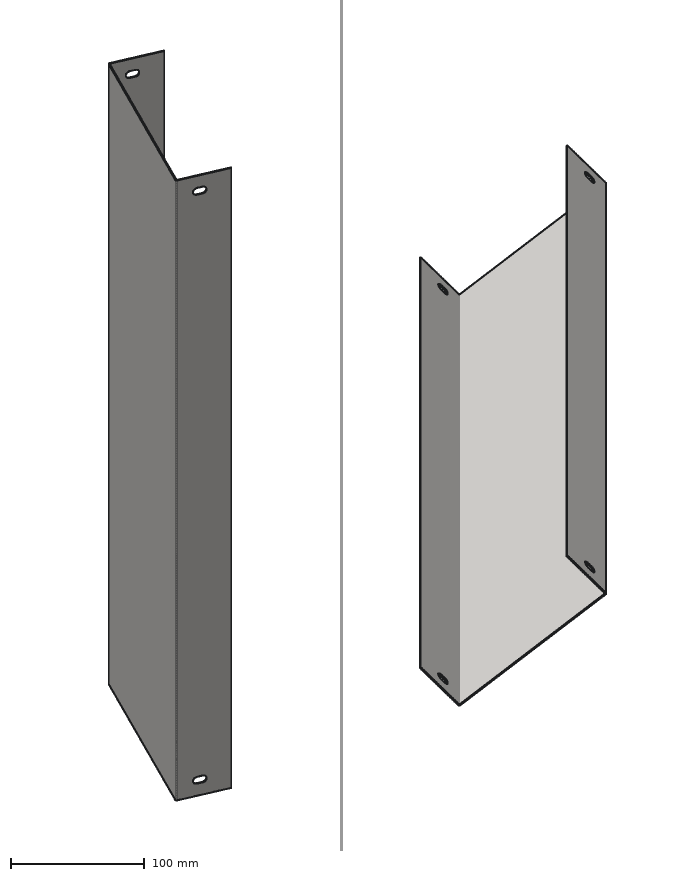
import cadquery as cq

width = 147.5
depth = 44.5
height = 600.0

thickness = 1.0
bend_inner_radius = 0.1
bend_outer_radius = bend_inner_radius + thickness

slot_length = 11.0
slot_width = 6.5
slot_from_front = 19.0
slot_from_end = 15.0


def make_channel():
    """U-shaped sheet: web on the -Y side, flanges pointing to +Y."""
    outer = (
        cq.Workplane("XY")
        .box(width, depth, height, centered=(True, False, True))
        .edges("|Z and <Y")
        .fillet(bend_outer_radius)
    )
    inner = (
        cq.Workplane("XY")
        .box(width - 2 * thickness, depth, height, centered=(True, False, True))
        .translate((0, thickness, 0))
        .edges("|Z and <Y")
        .fillet(bend_inner_radius)
    )
    return outer.cut(inner)


def make_slot_cutters():
    """One slot near each end, running through both flanges."""
    slot_height = height / 2 - slot_from_end
    return (
        cq.Workplane("YZ")
        .pushPoints([(slot_from_front, -slot_height), (slot_from_front, slot_height)])
        .slot2D(slot_length, slot_width)
        .extrude(width, both=True)
    )


result = make_channel().cut(make_slot_cutters())